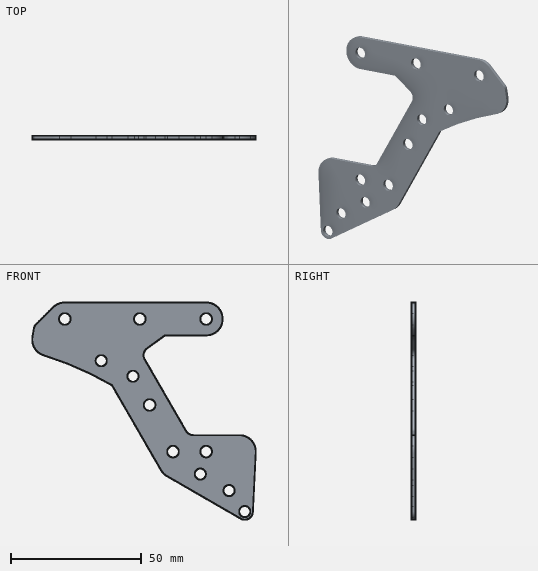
import cadquery as cq
import math

thickness = 1.5875
large_hole_diameter = 4.37
small_hole_diameter = 4.19

boss_radius = 6.35
tip_radius = 3.175
inner_corner_radius = 3.175
outer_elbow_radius = 6.35
shoulder_radius = 2.5
belly_radius = 127.0

arm_tip = (0.0, 0.0)
upper_left_end = (-54.12, 0.0)
lower_left_end = (-60.31, -7.9)
foot_corner = (12.7, -50.8)
foot_tip = (14.77, -73.75)

shoulder_normal = 135.0
left_side_normal = 170.0
foot_bottom_normal = 240.0
leg_direction = -60.0
notch_direction = 216.0

leg_width = 15.875
leg_start = (-36.1, -25.4)
notch_start_x = -15.8

large_holes = [
    arm_tip,
    (-25.4, 0.0),
    upper_left_end,
    (-21.66, -32.94),
    (-12.7, -50.8),
    (0.0, -50.8),
]
small_holes = [
    (-40.19, -15.99),
    (-28.03, -21.94),
    (-2.24, -59.4),
    (8.77, -65.72),
    foot_tip,
]


def polar(center, radius, angle):
    """Point at a given distance and direction (degrees) from a centre."""
    a = math.radians(angle)
    return (center[0] + radius * math.cos(a), center[1] + radius * math.sin(a))


def direction(start, end):
    """Direction in degrees from one point to another."""
    return math.degrees(math.atan2(end[1] - start[1], end[0] - start[0]))


def intersect(p, p_angle, q, q_angle):
    """Crossing point of two lines, each given by a point and a direction."""
    a = math.radians(p_angle)
    b = math.radians(q_angle)
    across = (q[0] - p[0]) * math.sin(b) - (q[1] - p[1]) * math.cos(b)
    return polar(p, across / math.sin(b - a), p_angle)


def foot_side_normal():
    """Outward normal of the line touching the foot corner and the foot tip."""
    spacing = math.dist(foot_corner, foot_tip)
    lean = math.degrees(math.acos((boss_radius - tip_radius) / spacing))
    return direction(foot_corner, foot_tip) + lean


def belly_center():
    """Centre of the hollow arc that touches the lower-left end and reaches the leg."""
    spacing = math.dist(leg_start, lower_left_end)
    reach = belly_radius + boss_radius
    cosine = (spacing**2 + belly_radius**2 - reach**2) / (2 * spacing * belly_radius)
    angle = direction(leg_start, lower_left_end) + math.degrees(math.acos(cosine))
    return polar(leg_start, belly_radius, angle)


def add_arc(path, center, radius, start_angle, end_angle):
    """Draw a line to the start of an arc, then the arc itself."""
    middle_angle = (start_angle + end_angle) / 2
    return path.lineTo(*polar(center, radius, start_angle)).threePointArc(
        polar(center, radius, middle_angle), polar(center, radius, end_angle)
    )


notch_start = (notch_start_x, arm_tip[1] - boss_radius)
leg_right_point = polar(leg_start, leg_width, leg_direction + 90)
notch_corner = intersect(notch_start, notch_direction, leg_right_point, leg_direction)
foot_top = (foot_corner[0], foot_corner[1] + boss_radius)
inner_elbow = intersect(leg_right_point, leg_direction, foot_top, 0)
foot_bottom_point = polar(foot_tip, tip_radius, foot_bottom_normal)
outer_elbow = intersect(leg_start, leg_direction, foot_bottom_point, foot_bottom_normal - 90)
shoulder = intersect(
    polar(upper_left_end, boss_radius, shoulder_normal),
    shoulder_normal + 90,
    polar(lower_left_end, boss_radius, left_side_normal),
    left_side_normal + 90,
)


def plate_blank():
    """Extruded outline, clockwise from the top of the arm tip."""
    side_normal = foot_side_normal()
    hollow = belly_center()
    belly_start_angle = direction(lower_left_end, hollow)
    belly_contact = polar(lower_left_end, boss_radius, belly_start_angle)
    belly_middle_angle = (direction(hollow, leg_start) + direction(hollow, belly_contact)) / 2

    path = cq.Workplane("XZ").moveTo(arm_tip[0], arm_tip[1] + boss_radius)
    path = path.threePointArc(polar(arm_tip, boss_radius, 0), polar(arm_tip, boss_radius, -90))
    path = path.lineTo(*notch_start).lineTo(*notch_corner).lineTo(*inner_elbow)
    path = add_arc(path, foot_corner, boss_radius, 90, side_normal)
    path = add_arc(path, foot_tip, tip_radius, side_normal, foot_bottom_normal - 360)
    path = path.lineTo(*outer_elbow).lineTo(*leg_start)
    path = path.threePointArc(polar(hollow, belly_radius, belly_middle_angle), belly_contact)
    path = path.threePointArc(
        polar(lower_left_end, boss_radius, (belly_start_angle % 360 + left_side_normal) / 2),
        polar(lower_left_end, boss_radius, left_side_normal),
    )
    path = path.lineTo(*shoulder)
    path = add_arc(path, upper_left_end, boss_radius, shoulder_normal, 90)
    return path.close().extrude(-thickness)


def round_corners(plate):
    """Round the sharp corners of the outline."""
    corner_radii = [
        (notch_corner, inner_corner_radius),
        (inner_elbow, inner_corner_radius),
        (outer_elbow, outer_elbow_radius),
        (shoulder, shoulder_radius),
    ]
    for (x, z), radius in corner_radii:
        corner = cq.selectors.NearestToPointSelector((x, thickness / 2, z))
        plate = plate.edges("|Y").edges(corner).fillet(radius)
    return plate


def hole_pins(centers, diameter):
    """Cylinders through the full thickness at the given centres."""
    return cq.Workplane("XZ").pushPoints(centers).circle(diameter / 2).extrude(-thickness)


result = round_corners(plate_blank())
result = result.cut(hole_pins(large_holes, large_hole_diameter))
result = result.cut(hole_pins(small_holes, small_hole_diameter))